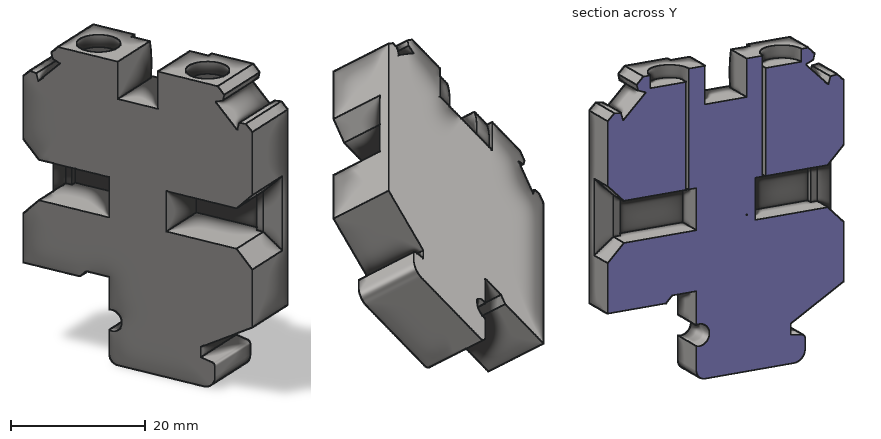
import cadquery as cq
import math

width = 40.0
thickness = 10.0
height = 49.0
half_width = width / 2
top = height / 2
bottom = -height / 2

slot_half_width = 3.5
slot_floor = top - 6.05

hook_points = [
    (13.95, top),
    (15.1, 23.35),
    (14.85, 22.4),
    (13.55, 21.9),
    (17.35, 18.25),
    (17.7, 19.4),
    (18.85, 19.55),
    (half_width, 18.45),
]

left_underside = -11.65
step_underside = -10.6
step_start = -10.1
step_end = step_start + (step_underside - left_underside)
foot_left = -5.0
foot_right = 13.48
foot_left_radius = 1.5
foot_right_radius = 1.95

notch_half_height = 1.6
notch_depth = 2.2
notch_center_z = -17.5

flank_top = -13.1
neck_x = 11.02
neck_top = -18.25
neck_bottom = -19.9
hook_tip_x = 12.85
hook_tip_z = -20.25
hook_tip_radius = foot_right - hook_tip_x

pocket_inner_x = 5.0
pocket_top = 5.55
pocket_bottom = -1.0
pocket_depth = 8.45
rim_depth = 7.5
rim_inner_x = 16.1
funnel_length = 2.75

hole_diameter = 6.5
hole_x = 9.5
hole_y = 4.3
hole_depth = 2.0
screw_stop_x = 6.7

recess_half_width = 6.7
recess_top_y = 9.05
recess_crest_y = 9.5
recess_crest_drop = 3.68


def make_body():
    left_hook = [(-x, z) for x, z in reversed(hook_points)]
    diagonal = math.sqrt(0.5)
    tip_mid = (
        hook_tip_x + hook_tip_radius * diagonal,
        hook_tip_z - hook_tip_radius * (1 - diagonal),
    )
    foot_mid = (
        foot_right - foot_right_radius * (1 - diagonal),
        bottom + foot_right_radius * (1 - diagonal),
    )
    foot_left_mid = (
        foot_left + foot_left_radius * (1 - diagonal),
        bottom + foot_left_radius * (1 - diagonal),
    )
    outline = (
        cq.Workplane("XZ")
        .polyline(
            left_hook
            + [
                (-slot_half_width, top),
                (-slot_half_width, slot_floor),
                (slot_half_width, slot_floor),
                (slot_half_width, top),
            ]
            + hook_points
            + [
                (half_width, flank_top),
                (neck_x, neck_top),
                (neck_x, neck_bottom),
                (hook_tip_x, hook_tip_z),
            ]
        )
        .threePointArc(tip_mid, (foot_right, hook_tip_z - hook_tip_radius))
        .lineTo(foot_right, bottom + foot_right_radius)
        .threePointArc(foot_mid, (foot_right - foot_right_radius, bottom))
        .lineTo(foot_left + foot_left_radius, bottom)
        .threePointArc(foot_left_mid, (foot_left, bottom + foot_left_radius))
        .lineTo(foot_left, notch_center_z - notch_half_height)
        .threePointArc(
            (foot_left + notch_depth, notch_center_z),
            (foot_left, notch_center_z + notch_half_height),
        )
        .lineTo(foot_left, step_underside)
        .lineTo(step_end, step_underside)
        .lineTo(step_start, left_underside)
        .lineTo(-half_width, left_underside)
        .close()
    )
    return outline.extrude(-thickness)


def box_between(x_range, y_range, z_range):
    """Box spanning the given (low, high) ranges."""
    sizes = [high - low for low, high in (x_range, y_range, z_range)]
    corner = (x_range[0], y_range[0], z_range[0])
    return cq.Workplane("XY").box(*sizes, centered=False).translate(corner)


def make_wire_pocket():
    """Right-hand pocket: deep chamber, shallower rim and flared mouth."""
    funnel_start = half_width - funnel_length
    pocket_z = (pocket_bottom, pocket_top)
    chamber = box_between((pocket_inner_x, rim_inner_x), (0, pocket_depth), pocket_z)
    rim = box_between((rim_inner_x, funnel_start), (0, rim_depth), pocket_z)
    pocket_height = pocket_top - pocket_bottom
    center_z = (pocket_top + pocket_bottom) / 2
    funnel = (
        cq.Workplane("YZ", origin=(funnel_start, 0, 0))
        .center(rim_depth / 2, center_z)
        .rect(rim_depth, pocket_height)
        .workplane(offset=funnel_length)
        .center((pocket_depth - rim_depth) / 2, 0)
        .rect(pocket_depth, pocket_height + 2 * funnel_length)
        .loft(ruled=True)
    )
    return chamber.union(rim).union(funnel)


def make_screw_hole():
    """Right-hand blind hole; the sliver inside the screw stop reaches the pocket."""
    radius = hole_diameter / 2
    hole = (
        cq.Workplane("XY", origin=(hole_x, hole_y, top - hole_depth))
        .circle(radius)
        .extrude(hole_depth)
    )
    inner_side = box_between(
        (hole_x - radius, screw_stop_x),
        (hole_y - radius, hole_y + radius),
        (pocket_top, top),
    )
    sliver = (
        cq.Workplane("XY", origin=(hole_x, hole_y, pocket_top))
        .circle(radius)
        .extrude(top - pocket_top)
        .intersect(inner_side)
    )
    return hole.union(sliver)


def make_back_recess():
    rise = recess_crest_y - recess_top_y
    wall_radius = (recess_crest_drop**2 + rise**2) / (2 * rise)
    crest_z = top - recess_crest_drop
    floor_drop = crest_z - slot_floor
    floor_y = recess_crest_y - wall_radius + math.sqrt(wall_radius**2 - floor_drop**2)
    return (
        cq.Workplane("YZ")
        .moveTo(thickness, slot_floor)
        .lineTo(floor_y, slot_floor)
        .threePointArc((recess_crest_y, crest_z), (recess_top_y, top))
        .lineTo(thickness, top)
        .close()
        .extrude(recess_half_width, both=True)
    )


result = make_body().cut(make_back_recess())
for side_cut in (make_wire_pocket(), make_screw_hole()):
    result = result.cut(side_cut).cut(side_cut.mirror("YZ"))